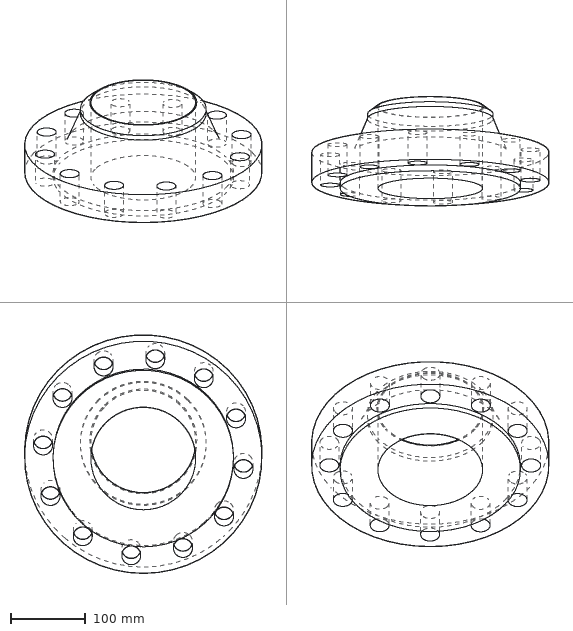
import cadquery as cq
import math

flange_diameter = 317.5
flange_thickness = 41.3

raised_face_diameter = 241.3
raised_face_height = 7.92

overall_height = 111.07
hub_base_diameter = 206.4
hub_fillet_radius = 2.5
pipe_diameter = 168.3
collar_height = 6.5
bevel_angle = 37.5
bore_diameter = 140.0
land_width = 1.6

bolt_hole_count = 12
bolt_hole_diameter = 25.4
bolt_circle_diameter = 269.9

flange_bottom = raised_face_height
flange_top = flange_bottom + flange_thickness
land_radius = bore_diameter / 2 + land_width
bevel_height = (pipe_diameter / 2 - land_radius) * math.tan(math.radians(bevel_angle))
bevel_bottom = overall_height - bevel_height
collar_bottom = bevel_bottom - collar_height


def flange_plate():
    """Round plate with the raised face under it."""
    raised_face = cq.Workplane("XY").circle(raised_face_diameter / 2).extrude(flange_bottom)
    plate = (
        cq.Workplane("XY", origin=(0, 0, flange_bottom))
        .circle(flange_diameter / 2)
        .extrude(flange_thickness)
    )
    return plate.union(raised_face)


def welding_neck():
    """Conical hub, straight collar and weld bevel, turned about the Z axis."""
    half_profile = [
        (0, flange_top),
        (hub_base_diameter / 2, flange_top),
        (pipe_diameter / 2, collar_bottom),
        (pipe_diameter / 2, bevel_bottom),
        (land_radius, overall_height),
        (0, overall_height),
    ]
    return cq.Workplane("XZ").polyline(half_profile).close().revolve(360, (0, 0), (0, 1))


def fillet_hub_base(body):
    """Round the inside corner where the hub meets the plate."""
    reach = hub_base_diameter / 2 + hub_fillet_radius
    corner = cq.selectors.BoxSelector(
        (-reach, -reach, flange_top - hub_fillet_radius),
        (reach, reach, flange_top + hub_fillet_radius),
        boundingbox=True,
    )
    return body.edges(corner).edges("%CIRCLE").fillet(hub_fillet_radius)


def bore():
    """Straight through bore."""
    return cq.Workplane("XY").circle(bore_diameter / 2).extrude(overall_height)


def bolt_holes():
    """Ring of bolt holes through the plate, the first one on the +X axis."""
    return (
        cq.Workplane("XY", origin=(0, 0, flange_bottom))
        .polarArray(bolt_circle_diameter / 2, 0, 360, bolt_hole_count)
        .circle(bolt_hole_diameter / 2)
        .extrude(flange_thickness)
    )


body = fillet_hub_base(flange_plate().union(welding_neck()))
result = body.cut(bore()).cut(bolt_holes())